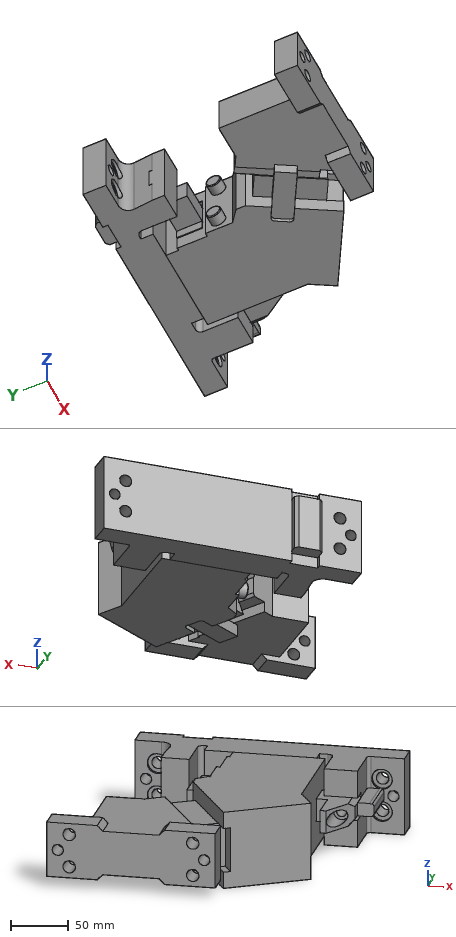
import cadquery as cq
import math


WIDTH = 70.0
FLANGE_THICKNESS = 22.3
FLANGE_WIDTH = 50.0
CORE_HALF = 20.0
BOLT_RADIUS = 5.5
DOWEL_RADIUS = 5.0
BOLT_INSET = 20.0
DOWEL_INSET = 10.0
BOLT_Z = 14.8
RAIL_Y = 189.2

INCLINE = math.radians(30)
N_DIR = (math.cos(INCLINE), math.sin(INCLINE))
A_DIR = (math.sin(INCLINE), -math.cos(INCLINE))
NOSE_SHOULDER_N = 123.2
NOSE_TIP_N = 131.0
NOSE_TIP_HALF = 7.5
NOSE_STEP_N = 115.5
NOSE_STEP_Z = -10.5
CONTACT_N = 145.5

BASE_LEFT = 35.0
BASE_RIGHT = 275.0
BASE_TOP = 225.2
BASE_UNDERSIDE = BASE_TOP - FLANGE_THICKNESS
LEG_BOTTOM = 162.0
LEFT_LEG_OUTER = 67.0
LEFT_LEG_INNER = 92.0
LEFT_LEG_TAPER_START = 174.0
LEFT_LEG_TAPER = 2.5
RIGHT_LEG_INNER = 212.3
RIGHT_LEG_OUTER = 242.0
RAIL_LEFT = 99.8
RAIL_RIGHT = 200.0
GROOVE_TOP = 201.0
LEFT_LEG_FILLET = 10.0
GROOVE_FILLET = 5.0
SMALL_FILLET = 3.0
COUNTERBORE_RADIUS = 9.0
COUNTERBORE_DEPTH = 2.8

KEY_LEFT = 74.0
KEY_RIGHT = 99.8
KEY_TOP = 234.0
KEYWAY_DEPTH = 5.0
KEY_CHAMFER = 3.0

RIB_END = 256.8
RIB_WIDTH = 12.0

BAR_TOP = 177.0
BAR_BOTTOM = 152.4
BAR_WIDTH = 20.5
HOOK_INNER = 217.2
HOOK_BOTTOM = 122.5
HOOK_TIP_WIDTH = 5.2
HOOK_CORNER = 4.7
HOOK_BORE_X = 230.0
HOOK_BORE_RADIUS = 7.2
HOOK_BORE_FLOOR = 152.4
HOOK_HOLE_RADIUS = 4.5
HOOK_HOLE_TOP = 170.5

SLIDE_RIGHT = 207.4
SLIDE_TOP_LEFT = 125.0
SLIDE_PAD_SEAT = 122.6
SLIDE_SCREW_FACE = 119.4
SLIDE_CHIN = 108.0
SCREW_FACE_TOP = 148.0
SCREW_FACE_BOTTOM = 121.5
CHIN_TOP = 112.8
SLIDE_KNEE_Y = 91.8
SLIDE_LOWER_A = 50.3
PAD_THICKNESS = 0.8
SCREW_Y = 135.3
SCREW_Z = 23.0
SCREW_RADIUS = 7.2
SCREW_HEIGHT = 11.0
SCREW_CHAMFER = 0.8
PLATE_SEAT_DEPTH = 6.5
PLATE_START_A = -29.5
PLATE_END_A = 35.2
CLAW_START_A = -12.6
CLAW_LENGTH = 20.0
CLAW_NOSE_N = 110.5
CLAW_BOTTOM = -31.0
CLAW_SLOT_DEPTH = 14.5
CLAW_SLOT_FILLET = 3.5

DRIVER_LENGTH = 150.2
DRIVER_LEFT = 33.3
DRIVER_SHOULDER_Y = 92.7
DRIVER_NOSE_START_A = -46.8
DRIVER_NOSE_END_A = 27.8
DRIVER_UNDERCUT_N = 113.5
NOTCH_OFFSET = 45.0
NOTCH_DEPTH = 5.0


def incline_point(n, a):
    """XY point at distance n from the incline origin and a along the incline."""
    return (n * N_DIR[0] + a * A_DIR[0], n * N_DIR[1] + a * A_DIR[1])


def incline_plane(a):
    """Plane across the incline: local x is n, local y is Z."""
    x, y = incline_point(0, a)
    return cq.Plane(origin=(x, y, 0), xDir=(*N_DIR, 0), normal=(*A_DIR, 0))


def box(x0, x1, y0, y1, z0, z1):
    return cq.Workplane("XY").box(x1 - x0, y1 - y0, z1 - z0, centered=False).translate((x0, y0, z0))


def mid_prism(points, width):
    """Closed XY outline extruded evenly about Z = 0."""
    return cq.Workplane("XY").polyline(points).close().extrude(width / 2, both=True)


def y_cylinder(x, z, radius, y0, y1):
    return cq.Workplane("XZ", origin=(x, y0, z)).circle(radius).extrude(y0 - y1)


def edge_at(x, y):
    """Selector for the edge whose middle is nearest an XY position on the mid plane."""
    return cq.selectors.NearestToPointSelector((x, y, 0))


def flange_holes(body, left, right, y0, y1):
    for end, inward in ((left, 1), (right, -1)):
        for side in (-1, 1):
            body = body.cut(y_cylinder(end + inward * BOLT_INSET, side * BOLT_Z, BOLT_RADIUS, y0, y1))
        body = body.cut(y_cylinder(end + inward * DOWEL_INSET, 0, DOWEL_RADIUS, y0, y1))
    return body


def make_bar():
    """Bar between the legs with a slanted hook under the right leg."""
    bar = mid_prism([
        (LEFT_LEG_INNER, BAR_TOP),
        (RIGHT_LEG_OUTER, BAR_TOP),
        (RIGHT_LEG_OUTER, BAR_BOTTOM),
        (HOOK_INNER + HOOK_TIP_WIDTH, HOOK_BOTTOM),
        (HOOK_INNER, HOOK_BOTTOM),
        (HOOK_INNER, BAR_BOTTOM),
        (LEFT_LEG_INNER, BAR_BOTTOM),
    ], BAR_WIDTH)
    bar = bar.faces(">X").edges("|Y").chamfer(HOOK_CORNER)
    return bar.union(box(LEFT_LEG_OUTER, LEFT_LEG_INNER, LEG_BOTTOM, BAR_TOP, -BAR_WIDTH / 2, BAR_WIDTH / 2))


def cut_hook_bore(body):
    """Counterbored blind hole with a drill-point end, opening on the hook slope."""
    body = body.cut(y_cylinder(HOOK_BORE_X, 0, HOOK_BORE_RADIUS, HOOK_BOTTOM, HOOK_BORE_FLOOR))
    body = body.cut(y_cylinder(HOOK_BORE_X, 0, HOOK_HOLE_RADIUS, HOOK_BORE_FLOOR, HOOK_HOLE_TOP))
    point = cq.Solid.makeCone(
        HOOK_HOLE_RADIUS, 0, HOOK_HOLE_RADIUS,
        pnt=cq.Vector(HOOK_BORE_X, HOOK_HOLE_TOP, 0), dir=cq.Vector(0, 1, 0),
    )
    return body.cut(cq.Workplane(point))


def make_key():
    """Key standing in a keyway across the top of the base."""
    key = box(KEY_LEFT, KEY_RIGHT, BASE_TOP - KEYWAY_DEPTH, KEY_TOP, -FLANGE_WIDTH / 2, FLANGE_WIDTH / 2)
    return key.faces(">Y").edges("|Z").chamfer(KEY_CHAMFER)


def make_base():
    taper_end = LEFT_LEG_OUTER + LEFT_LEG_TAPER
    base = mid_prism([
        (BASE_LEFT, BASE_TOP),
        (BASE_RIGHT, BASE_TOP),
        (BASE_RIGHT, BASE_UNDERSIDE),
        (RIGHT_LEG_OUTER, BASE_UNDERSIDE),
        (RIGHT_LEG_OUTER, LEG_BOTTOM),
        (RIGHT_LEG_INNER, LEG_BOTTOM),
        (RIGHT_LEG_INNER, GROOVE_TOP),
        (RAIL_RIGHT, GROOVE_TOP),
        (RAIL_RIGHT, RAIL_Y),
        (RAIL_LEFT, RAIL_Y),
        (RAIL_LEFT, GROOVE_TOP),
        (LEFT_LEG_INNER, GROOVE_TOP),
        (LEFT_LEG_INNER, LEG_BOTTOM),
        (LEFT_LEG_OUTER, LEG_BOTTOM),
        (LEFT_LEG_OUTER, LEFT_LEG_TAPER_START),
        (taper_end, BASE_UNDERSIDE),
        (BASE_LEFT, BASE_UNDERSIDE),
    ], WIDTH)
    base = base.edges("|Z").edges(edge_at(taper_end, BASE_UNDERSIDE)).fillet(LEFT_LEG_FILLET)
    base = base.edges("|Z").edges(edge_at(LEFT_LEG_INNER, GROOVE_TOP)).fillet(GROOVE_FILLET)
    base = base.edges("|Z").edges(edge_at(RIGHT_LEG_INNER, GROOVE_TOP)).fillet(GROOVE_FILLET)
    base = base.edges("|Z").edges(edge_at(RIGHT_LEG_OUTER, BASE_UNDERSIDE)).fillet(SMALL_FILLET)

    keyway = box(KEY_LEFT, KEY_RIGHT, BASE_TOP - KEYWAY_DEPTH, BASE_TOP, -WIDTH / 2, WIDTH / 2)
    base = base.cut(keyway).union(make_key())

    rib = box(RIGHT_LEG_OUTER, RIB_END, LEG_BOTTOM, BASE_UNDERSIDE, -RIB_WIDTH / 2, RIB_WIDTH / 2)
    rib = rib.faces(">X").edges("|Y").fillet(SMALL_FILLET)
    base = base.union(rib)
    leg_slot = box(RIGHT_LEG_INNER, RIGHT_LEG_OUTER, LEG_BOTTOM, BAR_TOP, -BAR_WIDTH / 2, BAR_WIDTH / 2)
    base = base.cut(leg_slot).union(make_bar())

    base = flange_holes(base, BASE_LEFT, BASE_RIGHT, LEG_BOTTOM, BASE_TOP)
    for x in (BASE_LEFT + BOLT_INSET, BASE_RIGHT - BOLT_INSET):
        for side in (-1, 1):
            base = base.cut(y_cylinder(
                x, side * BOLT_Z, COUNTERBORE_RADIUS, LEG_BOTTOM, BASE_UNDERSIDE + COUNTERBORE_DEPTH
            ))
    return cut_hook_bore(base)


def make_slide_block():
    chin_y = (CONTACT_N - SLIDE_CHIN * N_DIR[0]) / N_DIR[1]
    heel_n = SLIDE_RIGHT * N_DIR[0] + SLIDE_KNEE_Y * N_DIR[1]
    return mid_prism([
        (SLIDE_TOP_LEFT, RAIL_Y),
        (SLIDE_RIGHT, RAIL_Y),
        (SLIDE_RIGHT, SLIDE_KNEE_Y),
        incline_point(heel_n, SLIDE_LOWER_A),
        incline_point(CONTACT_N, SLIDE_LOWER_A),
        (SLIDE_CHIN, chin_y),
        (SLIDE_CHIN, CHIN_TOP),
        (SLIDE_SCREW_FACE, SCREW_FACE_BOTTOM),
        (SLIDE_SCREW_FACE, SCREW_FACE_TOP),
        (SLIDE_PAD_SEAT, SCREW_FACE_TOP),
        (SLIDE_PAD_SEAT, BAR_TOP),
        (SLIDE_TOP_LEFT, BAR_TOP),
    ], WIDTH)


def make_wear_plate():
    """Plate on the contact face, shaped to the V nose of the driver."""
    back = CONTACT_N + PLATE_SEAT_DEPTH
    profile = [
        (back, CORE_HALF),
        (NOSE_SHOULDER_N, CORE_HALF),
        (NOSE_TIP_N, NOSE_TIP_HALF),
        (NOSE_TIP_N, -NOSE_TIP_HALF),
        (NOSE_SHOULDER_N, -CORE_HALF),
        (back, -CORE_HALF),
    ]
    plate = cq.Workplane(incline_plane(PLATE_START_A)).polyline(profile).close()
    return plate.extrude(PLATE_END_A - PLATE_START_A)


def claw_prism(n_start, n_end, z0, z1):
    """Block of claw length between two n positions and two heights."""
    end_a = CLAW_START_A + CLAW_LENGTH
    corners = [
        incline_point(n_start, CLAW_START_A),
        incline_point(n_end, CLAW_START_A),
        incline_point(n_end, end_a),
        incline_point(n_start, end_a),
    ]
    return cq.Workplane("XY", origin=(0, 0, z0)).polyline(corners).close().extrude(z1 - z0)


def add_claw(slide):
    """Return claw reaching under the driver, let into a slot in the slide underside."""
    slot_floor = CONTACT_N + CLAW_SLOT_DEPTH
    far_corners = [incline_point(slot_floor, a) for a in (CLAW_START_A, CLAW_START_A + CLAW_LENGTH)]
    slot = claw_prism(CONTACT_N, slot_floor, -WIDTH / 2, CLAW_BOTTOM)
    for x, y in far_corners:
        nearest = cq.selectors.NearestToPointSelector((x, y, (CLAW_BOTTOM - WIDTH / 2) / 2))
        slot = slot.edges("|Z").edges(nearest).fillet(CLAW_SLOT_FILLET)
    claw = claw_prism(CLAW_NOSE_N, slot_floor, CLAW_BOTTOM, -CORE_HALF)
    return slide.cut(slot).union(claw)


def add_screw_heads(slide):
    for side in (-1, 1):
        head = (
            cq.Workplane("YZ", origin=(SLIDE_SCREW_FACE, SCREW_Y, side * SCREW_Z))
            .circle(SCREW_RADIUS)
            .extrude(-SCREW_HEIGHT)
            .faces("<X")
            .chamfer(SCREW_CHAMFER)
        )
        slide = slide.union(head)
    return slide


def make_slide():
    slide = make_slide_block()
    seat_cut = (
        cq.Workplane(incline_plane(PLATE_START_A))
        .center(CONTACT_N + PLATE_SEAT_DEPTH / 2, 0)
        .rect(PLATE_SEAT_DEPTH, 2 * CORE_HALF)
        .extrude(SLIDE_LOWER_A - PLATE_START_A)
    )
    slide = slide.cut(seat_cut).union(make_wear_plate())
    slide = add_claw(slide)
    slide = add_screw_heads(slide)
    pad = box(SLIDE_PAD_SEAT - PAD_THICKNESS, SLIDE_PAD_SEAT, BAR_BOTTOM, BAR_TOP, -CORE_HALF, CORE_HALF)
    slide = slide.union(pad)
    return slide.cut(box(LEFT_LEG_INNER, RIGHT_LEG_INNER, BAR_BOTTOM, BAR_TOP, -BAR_WIDTH / 2, BAR_WIDTH / 2))


def make_driver_flange():
    half = FLANGE_WIDTH / 2
    waist = half - NOTCH_DEPTH
    upper = [
        (0, half),
        (NOTCH_OFFSET, half),
        (NOTCH_OFFSET + NOTCH_DEPTH, waist),
        (DRIVER_LENGTH - NOTCH_OFFSET - NOTCH_DEPTH, waist),
        (DRIVER_LENGTH - NOTCH_OFFSET, half),
        (DRIVER_LENGTH, half),
    ]
    lower = [(x, -z) for x, z in reversed(upper)]
    flange = cq.Workplane("XZ").polyline(upper + lower).close().extrude(-FLANGE_THICKNESS)
    return flange_holes(flange, 0, DRIVER_LENGTH, 0, FLANGE_THICKNESS)


def make_driver_body():
    undercut_a = (FLANGE_THICKNESS - DRIVER_UNDERCUT_N * N_DIR[1]) / A_DIR[1]
    shoulder_n = (DRIVER_SHOULDER_Y - DRIVER_NOSE_START_A * A_DIR[1]) / N_DIR[1]
    body = mid_prism([
        (DRIVER_LEFT, 0),
        (DRIVER_LEFT, DRIVER_SHOULDER_Y),
        incline_point(shoulder_n, DRIVER_NOSE_START_A),
        incline_point(NOSE_TIP_N, DRIVER_NOSE_START_A),
        incline_point(NOSE_TIP_N, DRIVER_NOSE_END_A),
        incline_point(DRIVER_UNDERCUT_N, DRIVER_NOSE_END_A),
        incline_point(DRIVER_UNDERCUT_N, undercut_a),
        (DRIVER_LENGTH - NOTCH_OFFSET, FLANGE_THICKNESS),
        (DRIVER_LENGTH - NOTCH_OFFSET, 0),
    ], 2 * CORE_HALF)
    nose_length = DRIVER_NOSE_END_A - DRIVER_NOSE_START_A
    upper_bevel = [(NOSE_SHOULDER_N, CORE_HALF), (NOSE_TIP_N, CORE_HALF), (NOSE_TIP_N, NOSE_TIP_HALF)]
    lower_bevel = [(n, -z) for n, z in upper_bevel]
    step = [
        (NOSE_STEP_N, NOSE_STEP_Z),
        (NOSE_TIP_N, NOSE_STEP_Z),
        (NOSE_TIP_N, -CORE_HALF),
        (NOSE_STEP_N, -CORE_HALF),
    ]
    for profile in (upper_bevel, lower_bevel, step):
        cutter = cq.Workplane(incline_plane(DRIVER_NOSE_START_A)).polyline(profile).close()
        body = body.cut(cutter.extrude(nose_length))
    return body


def make_driver():
    return make_driver_flange().union(make_driver_body())


base = make_base()
slide = make_slide()
driver = make_driver()
result = cq.Compound.makeCompound([body.solids().val() for body in (base, slide, driver)])